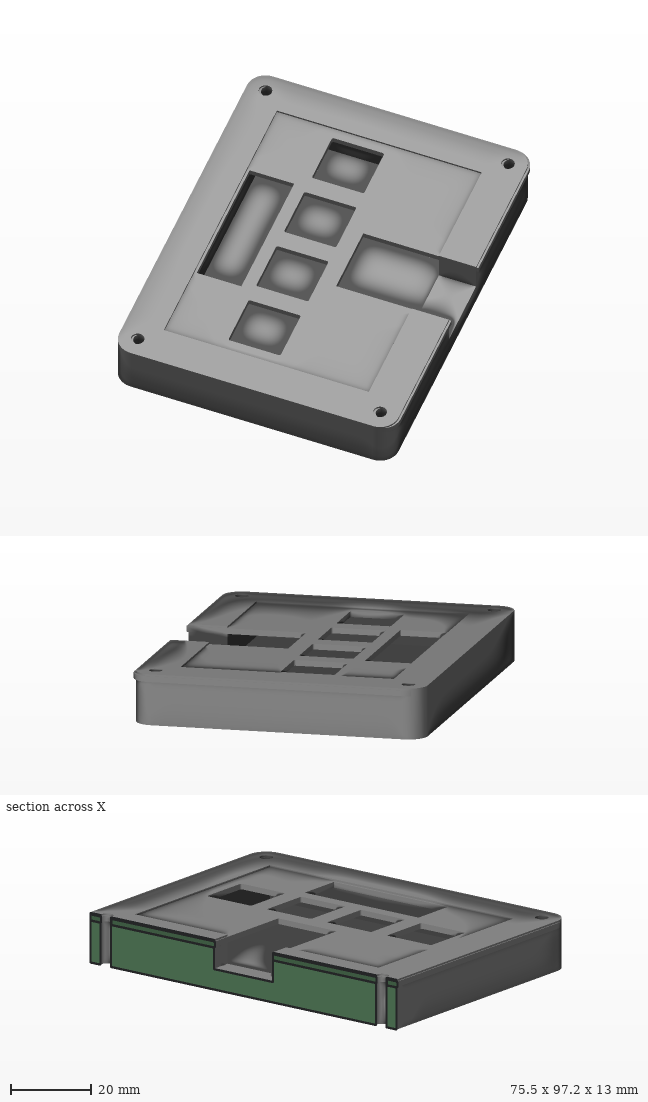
import cadquery as cq

TOTAL_WIDTH = 75.5
TOTAL_LENGTH = 97.2
PLATE_SHIFT_X = 0.53
PLATE_SHIFT_Y = 0.24
BODY_WIDTH = TOTAL_WIDTH - PLATE_SHIFT_X
BODY_LENGTH = TOTAL_LENGTH - PLATE_SHIFT_Y
CORNER_RADIUS = 5.0
SCREW_HOLE_DIAMETER = 3.4
NOTCH_WIDTH = 18.5

HOUSING_HEIGHT = 13.0
WALL = 10.0
FLOOR_Z = 4.0
NOTCH_FLOOR_Z = 5.4

PLATE_THICKNESS = 1.5
PLATE_RECESS = 0.5
PLATE_BOTTOM_Z = HOUSING_HEIGHT - PLATE_RECESS - PLATE_THICKNESS

KEY_COUNT = 4
KEY_PITCH = 19.0
KEY_SIZE = 14.0
KEY_CORNER_RADIUS = 0.5
KEY_X = -5.1

DISPLAY_WIDTH = 12.0
DISPLAY_LENGTH = 36.0
DISPLAY_X = -21.4

CUTOUT_DEPTH = 30.9


def box_on(center_x, width, length, bottom_z, height):
    """A box centred on Y = 0 that stands on bottom_z."""
    box = cq.Workplane("XY").box(width, length, height, centered=(True, True, False))
    return box.translate((center_x, 0, bottom_z))


def rounded_slab(bottom_z, height):
    """The common footprint with a screw hole on the axis of each rounded corner."""
    slab = box_on(0, BODY_WIDTH, BODY_LENGTH, bottom_z, height).edges("|Z").fillet(CORNER_RADIUS)
    hole_spacing_x = BODY_WIDTH - 2 * CORNER_RADIUS
    hole_spacing_y = BODY_LENGTH - 2 * CORNER_RADIUS
    return (
        slab.faces(">Z")
        .workplane(origin=(0, 0, 0))
        .rect(hole_spacing_x, hole_spacing_y, forConstruction=True)
        .vertices()
        .hole(SCREW_HOLE_DIAMETER)
    )


def make_plate():
    """Thin plate with a column of key windows, a display window and an open cutout at +X."""
    plate = rounded_slab(PLATE_BOTTOM_Z, PLATE_THICKNESS)

    key_window = box_on(KEY_X, KEY_SIZE, KEY_SIZE, PLATE_BOTTOM_Z, PLATE_THICKNESS)
    key_window = key_window.edges("|Z").fillet(KEY_CORNER_RADIUS)
    for key in range(KEY_COUNT):
        key_y = (key - (KEY_COUNT - 1) / 2) * KEY_PITCH
        plate = plate.cut(key_window.translate((0, key_y, 0)))

    plate = plate.cut(box_on(DISPLAY_X, DISPLAY_WIDTH, DISPLAY_LENGTH, PLATE_BOTTOM_Z, PLATE_THICKNESS))

    cutout_x = (BODY_WIDTH - CUTOUT_DEPTH) / 2
    plate = plate.cut(box_on(cutout_x, CUTOUT_DEPTH, NOTCH_WIDTH, PLATE_BOTTOM_Z, PLATE_THICKNESS))
    return plate.translate((PLATE_SHIFT_X, PLATE_SHIFT_Y, 0))


def make_housing(plate):
    """Deep tray with a notch through its +X wall and a slot in its rim that holds the plate."""
    housing = rounded_slab(0, HOUSING_HEIGHT)

    pocket_width = BODY_WIDTH - 2 * WALL
    pocket_length = BODY_LENGTH - 2 * WALL
    housing = housing.cut(box_on(0, pocket_width, pocket_length, FLOOR_Z, HOUSING_HEIGHT - FLOOR_Z))

    notch_x = (BODY_WIDTH - WALL) / 2
    housing = housing.cut(box_on(notch_x, WALL, NOTCH_WIDTH, NOTCH_FLOOR_Z, HOUSING_HEIGHT - NOTCH_FLOOR_Z))
    return housing.cut(plate)


plate = make_plate()
housing = make_housing(plate)

result = cq.Compound.makeCompound([housing.solids().val(), plate.solids().val()])